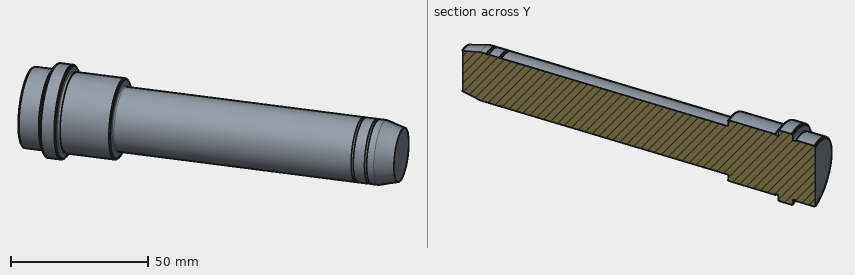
import cadquery as cq
import math

total_length = 141.0
collar_start = 9.0
collar_width = 5.9
collar_end = collar_start + collar_width
body_end = 35.0
tip_length = 7.2
tip_start = total_length - tip_length

body_diameter = 30.0
collar_diameter = 35.0
shank_diameter = 24.0
tip_angle = 15.5

edge_break = 0.5
shoulder_fillet = 0.5
relief_width = 1.1
relief_depth = 0.5
ring_groove_width = 0.8
ring_groove_depth = 0.3
ring_groove_starts = (125.3, 130.4)

body_radius = body_diameter / 2
collar_radius = collar_diameter / 2
shank_radius = shank_diameter / 2
tip_radius = shank_radius - tip_length * math.tan(math.radians(tip_angle))
relief_starts = (collar_start - relief_width, collar_end)


def cylinder(start, end, radius):
    """Solid cylinder along X between two stations."""
    return cq.Workplane("YZ", origin=(start, 0, 0)).circle(radius).extrude(end - start)


def round_groove(start, width, radius, depth):
    """Ring with an arc-shaped floor, to be cut from a cylinder of the given radius."""
    outside = radius + depth
    return (
        cq.Workplane("XY")
        .moveTo(start, outside)
        .lineTo(start, radius)
        .threePointArc((start + width / 2, radius - depth), (start + width, radius))
        .lineTo(start + width, outside)
        .close()
        .revolve(360, (0, 0, 0), (1, 0, 0))
    )


def make_body():
    """Head and body cylinder with chamfered ends and a relief on each side of the collar."""
    body = cylinder(0, body_end, body_radius).edges().chamfer(edge_break)
    for start in relief_starts:
        body = body.cut(round_groove(start, relief_width, body_radius, relief_depth))
    return body


def make_collar():
    """Collar with chamfered rims."""
    return cylinder(collar_start, collar_end, collar_radius).edges().chamfer(edge_break)


def make_shank():
    """Grooved shank with a fillet at the body shoulder and a conical lead-in tip."""
    fillet_center_x = body_end + shoulder_fillet
    fillet_center_r = shank_radius + shoulder_fillet
    fillet_reach = shoulder_fillet * math.sqrt(0.5)
    shank = (
        cq.Workplane("XY")
        .moveTo(body_end, 0)
        .lineTo(body_end, fillet_center_r)
        .threePointArc(
            (fillet_center_x - fillet_reach, fillet_center_r - fillet_reach),
            (fillet_center_x, shank_radius),
        )
        .lineTo(tip_start, shank_radius)
        .lineTo(total_length, tip_radius)
        .lineTo(total_length, 0)
        .close()
        .revolve(360, (0, 0, 0), (1, 0, 0))
    )
    for start in ring_groove_starts:
        shank = shank.cut(round_groove(start, ring_groove_width, shank_radius, ring_groove_depth))
    return shank


result = make_body().union(make_collar()).union(make_shank())